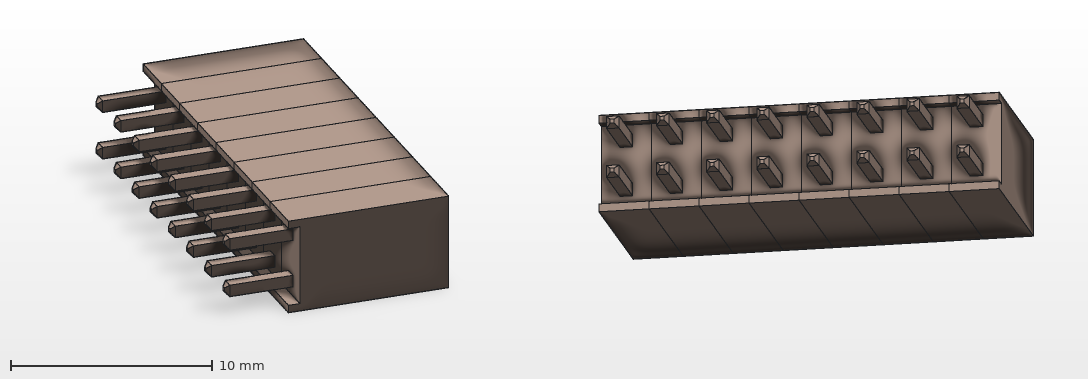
import cadquery as cq

module_count = 8
total_width = 20.32
module_pitch = total_width / module_count
height = 5.0
total_depth = 11.5

housing_depth = 8.53
lip_depth = 0.6
lip_thickness = 0.4

row_spacing = module_pitch
pin_width = 0.63
pin_tip_width = 0.2
pin_tip_length = (pin_width - pin_tip_width) / 2

pin_tip_y = -total_depth
lip_front_y = -housing_depth
recess_y = lip_front_y + lip_depth
pin_shaft_length = recess_y - pin_tip_y - pin_tip_length


def make_housing():
    """One housing slice, centred on X = 0 and Z = 0, with its front face recessed between two lips."""
    block = cq.Workplane("XY").box(module_pitch, housing_depth, height, centered=(True, False, True))
    block = block.translate((0, lip_front_y, 0))
    recess_height = height - 2 * lip_thickness
    recess = cq.Workplane("XY").box(module_pitch, lip_depth, recess_height, centered=(True, False, True))
    return block.cut(recess.translate((0, lip_front_y, 0)))


def make_pin(z):
    """A square pin from the recessed face toward -Y, ending in a blunt pyramid tip."""
    base = cq.Workplane("XZ", origin=(0, recess_y, z))
    shaft = base.rect(pin_width, pin_width).extrude(pin_shaft_length)
    tip = (
        cq.Workplane("XZ", origin=(0, recess_y - pin_shaft_length, z))
        .rect(pin_width, pin_width)
        .workplane(offset=pin_tip_length)
        .rect(pin_tip_width, pin_tip_width)
        .loft(ruled=True)
    )
    return shaft.union(tip)


def make_module(x):
    """One connector module: a housing slice carrying an upper and a lower pin."""
    module = make_housing()
    for z in (-row_spacing / 2, row_spacing / 2):
        module = module.union(make_pin(z))
    return module.translate((x, 0, 0))


first_module_x = -(total_width - module_pitch) / 2
modules = []
for index in range(module_count):
    module = make_module(first_module_x + index * module_pitch)
    modules.append(module.solids().val())

result = cq.Compound.makeCompound(modules)